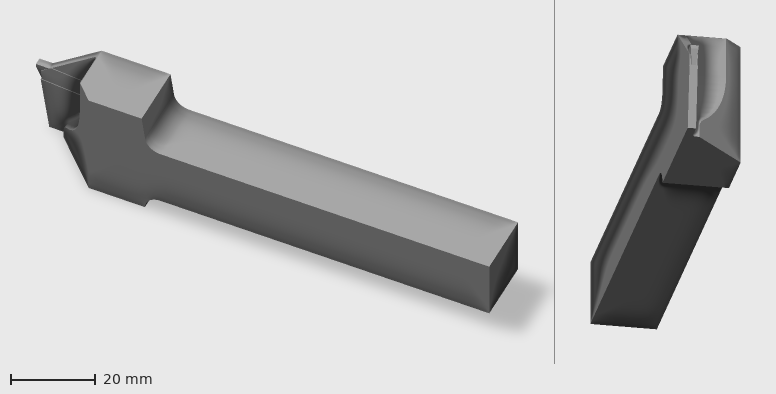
import cadquery as cq
import math

total_length = 125.0
shank_size = 16.0
shank_bottom = 4.0
shank_top = shank_bottom + shank_size

head_height = 30.0
head_top_start = 16.2
top_slope = math.radians(38.2)
shoulder_x = 35.6
shoulder_slant = math.radians(8)
shoulder_fillet = 4.0
face_corner_x = 20.4

blade_thickness = 2.0
blade_front = shank_size - blade_thickness
blade_foot_x = 3.5

wall_x = 16.0
wall_radius = 20.0
wall_turn = math.radians(48.5)
foot_radius = 3.6
pocket_fillet = 0.9

insert_tilt = math.radians(5)
insert_top_at_zero = 20.9
insert_bottom_at_zero = 15.5
insert_chamfer = 0.2
nose_flat = 0.9
nose_bottom_x = 1.2
nose_relief = 0.5
relief_band = 0.4

margin = 3.8


def prism(outline, y_start, y_end):
    """Extrude an XZ outline between two Y positions."""
    return outline.extrude(y_start - y_end).translate((0, y_start, 0))


def polygon(points):
    return cq.Workplane("XZ").polyline(points).close()


def insert_top(x):
    return insert_top_at_zero - x * math.tan(insert_tilt)


def insert_bottom(x):
    return insert_bottom_at_zero - x * math.tan(insert_tilt)


def slope_x(z):
    """X of the sloping upper edge at height z."""
    return head_top_start - (head_height - z) / math.tan(top_slope)


def wall_outline():
    """Open region in front of the pocket wall, in XZ."""
    arc_end_x = wall_x - wall_radius * (1 - math.cos(wall_turn))
    arc_end_z = shank_top - wall_radius * math.sin(wall_turn)
    foot_x = arc_end_x - foot_radius * (1 - math.cos(wall_turn))
    foot_z = arc_end_z - foot_radius * math.sin(wall_turn)
    half_turn = wall_turn / 2
    arc_mid = (wall_x - wall_radius * (1 - math.cos(half_turn)),
               shank_top - wall_radius * math.sin(half_turn))
    foot_mid = (foot_x + foot_radius * (1 - math.cos(half_turn)),
                foot_z + foot_radius * math.sin(half_turn))
    return (
        cq.Workplane("XZ")
        .moveTo(-margin, head_height + margin)
        .lineTo(wall_x, head_height + margin)
        .lineTo(wall_x, shank_top)
        .threePointArc(arc_mid, (arc_end_x, arc_end_z))
        .threePointArc(foot_mid, (foot_x, foot_z))
        .lineTo(foot_x, -margin)
        .lineTo(-margin, -margin)
        .close()
    )


def make_body():
    """Holder blank: head and shank in one outline, front corner cut at 45 degrees."""
    slant = math.tan(shoulder_slant)
    body = prism(polygon([
        (blade_foot_x, 0),
        (shoulder_x - shank_bottom * slant, 0),
        (shoulder_x, shank_bottom),
        (total_length, shank_bottom),
        (total_length, shank_top),
        (shoulder_x, shank_top),
        (shoulder_x - (head_height - shank_top) * slant, head_height),
        (head_top_start, head_height),
        (slope_x(shank_top), shank_top),
        (nose_bottom_x, insert_bottom(nose_bottom_x)),
    ]), 0, shank_size)
    for z in (shank_bottom, shank_top):
        corner = cq.selectors.NearestToPointSelector((shoulder_x, shank_size / 2, z))
        body = body.edges("|Y").edges(corner).fillet(shoulder_fillet)
    corner_cut = (
        cq.Workplane("XY")
        .polyline([(face_corner_x + margin, -margin), (-margin, face_corner_x + margin), (-margin, -margin)])
        .close()
        .extrude(head_height)
    )
    front_half = cq.Workplane("XY").box(
        face_corner_x + margin, blade_front, head_height, centered=False)
    return body.cut(corner_cut.intersect(front_half))


def make_seat_space():
    """Tilted strip of space that the insert fills, up to the pocket wall."""
    strip = prism(polygon([
        (-margin, insert_bottom(-margin)),
        (wall_x + margin, insert_bottom(wall_x + margin)),
        (wall_x + margin, insert_top(wall_x + margin)),
        (-margin, insert_top(-margin)),
    ]), 0, shank_size)
    return strip.intersect(prism(wall_outline(), 0, shank_size))


def make_holder():
    pocket = prism(wall_outline(), -margin, blade_front)
    pocket = pocket.faces(">Y").edges().fillet(pocket_fillet)
    return make_body().cut(pocket).cut(make_seat_space())


def relieve_nose(insert):
    """Taper both sides of the nose inward below its cutting edge."""
    bottom_z = insert_bottom(nose_bottom_x)
    band = prism(polygon([
        (-margin, shank_top),
        (slope_x(shank_top), shank_top),
        (nose_bottom_x, shank_top - (slope_x(shank_top) - nose_bottom_x) * math.tan(top_slope)),
        (nose_bottom_x + relief_band, bottom_z),
        (-margin, bottom_z),
    ]), blade_front, shank_size)
    for side_y, inward in ((blade_front, 1), (shank_size, -1)):
        wedge = (
            cq.Workplane("YZ")
            .polyline([(side_y, shank_top), (side_y, bottom_z), (side_y + inward * nose_relief, bottom_z)])
            .close()
            .extrude(total_length)
        )
        insert = insert.cut(wedge.intersect(band))
    return insert


def make_insert():
    end_x = wall_x + margin
    upper_x = ((insert_top_at_zero - head_height + head_top_start * math.tan(top_slope))
               / (math.tan(top_slope) + math.tan(insert_tilt)))
    insert = prism(polygon([
        (0, shank_top),
        (0, shank_top - nose_flat),
        (nose_bottom_x, insert_bottom(nose_bottom_x)),
        (end_x, insert_bottom(end_x)),
        (end_x, insert_top(end_x)),
        (upper_x, insert_top(upper_x)),
        (slope_x(shank_top), shank_top),
    ]), blade_front, shank_size)
    along_strip = cq.Vector(math.cos(insert_tilt), 0, -math.sin(insert_tilt))
    long_edges = cq.selectors.ParallelDirSelector(along_strip)
    insert = insert.faces("<Y").edges(long_edges).chamfer(insert_chamfer)
    return relieve_nose(insert.intersect(make_seat_space()))


holder = make_holder()
insert = make_insert()
result = cq.Compound.makeCompound([holder.val(), insert.val()])